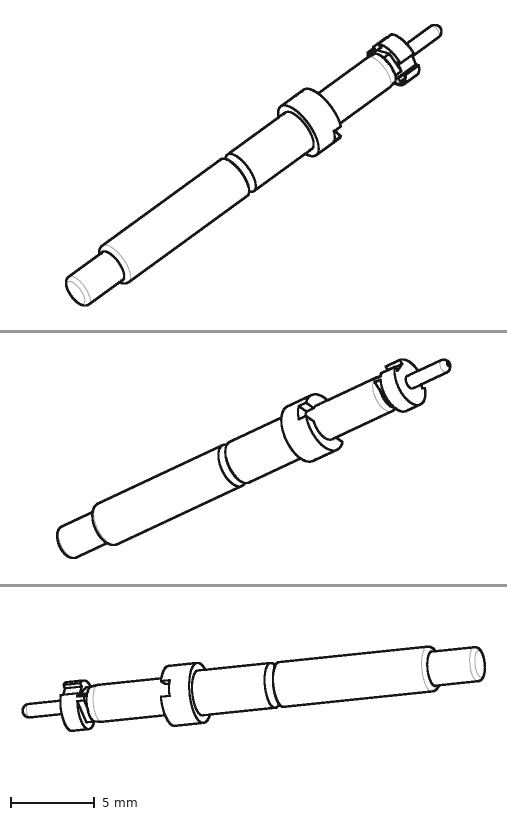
import cadquery as cq
import math


length = 29.3
tip_y = length / 2
tail_y = -length / 2
head_front_y = 11.7
lobe_thickness = 1.08
diamond_thickness = 0.45
neck_length = 0.45
collar_front_y = 5.13
collar_length = 1.85
groove_y = -1.65
body_end_y = -11.7

pin_radius = 0.4
pin_tip_radius = 0.15
head_radius = 1.46
neck_radius = 1.05
tube_radius = 1.1
collar_diameter = 3.6
collar_radius = collar_diameter / 2
body_radius = 1.35
tail_radius = 1.03
groove_radius = 0.25

pin_nose_length = 0.35
pin_nose_bulge = 0.045
body_end_round = 0.23
tail_round = 0.23

slot_tilt = 31.0
slot_width = 0.85
slot_floor = 1.1
diamond_half_height = 1.08
diamond_slope = 33.0

notch_width = 0.97
notch_depth = 0.55

lobe_back_y = head_front_y - lobe_thickness
head_back_y = lobe_back_y - diamond_thickness
neck_end_y = head_back_y - neck_length
collar_back_y = collar_front_y - collar_length


def rod(radius, start_y, end_y):
    """Cylinder on the Y axis from start_y down to end_y."""
    plane = cq.Workplane("XZ", origin=(0, start_y, 0))
    return plane.circle(radius).extrude(start_y - end_y)


def make_pin():
    """Contact pin with a slightly bulged, flat-tipped nose."""
    nose_y = tip_y - pin_nose_length
    nose_middle = (
        (pin_tip_radius + pin_radius) / 2 + pin_nose_bulge,
        (tip_y + nose_y) / 2 + pin_nose_bulge,
    )
    profile = (
        cq.Workplane("XY")
        .moveTo(0, head_front_y)
        .lineTo(pin_radius, head_front_y)
        .lineTo(pin_radius, nose_y)
        .threePointArc(nose_middle, (pin_tip_radius, tip_y))
        .lineTo(0, tip_y)
        .close()
    )
    return profile.revolve(360, (0, 0), (0, 1))


def make_head():
    """Round flange with a diamond-shaped layer behind it and two tilted side slots."""
    flange = rod(head_radius, head_front_y, lobe_back_y)

    diamond_half_width = diamond_half_height / math.tan(math.radians(diamond_slope))
    corners = [
        (diamond_half_width, 0),
        (0, diamond_half_height),
        (-diamond_half_width, 0),
        (0, -diamond_half_height),
    ]
    diamond = (
        cq.Workplane("XZ", origin=(0, lobe_back_y, 0))
        .polyline(corners)
        .close()
        .extrude(diamond_thickness)
        .intersect(rod(head_radius, lobe_back_y, head_back_y))
    )
    head = flange.union(diamond)

    slot = cq.Workplane("XY").box(
        head_radius,
        lobe_thickness + diamond_thickness,
        slot_width,
        centered=(False, False, True),
    )
    slot = slot.translate((slot_floor, head_back_y, 0))
    for angle in (-slot_tilt, slot_tilt - 180):
        head = head.cut(slot.rotate((0, 0, 0), (0, 1, 0), angle))
    return head


def make_neck():
    """Cone widening from the head to the tube."""
    outline = [
        (0, head_back_y),
        (neck_radius, head_back_y),
        (tube_radius, neck_end_y),
        (0, neck_end_y),
    ]
    return cq.Workplane("XY").polyline(outline).close().revolve(360, (0, 0), (0, 1))


def make_collar():
    """Collar with a key notch on each X side of its front face."""
    collar = rod(collar_radius, collar_front_y, collar_back_y)
    notches = cq.Workplane("XY").box(2 * collar_radius, notch_depth, notch_width)
    notches = notches.translate((0, collar_front_y - notch_depth / 2, 0))
    return collar.cut(notches)


def make_body():
    """Rear barrel with a rounded end and a half-round groove."""
    body = rod(body_radius, collar_back_y, body_end_y)
    body = body.faces("<Y").edges().fillet(body_end_round)
    groove = (
        cq.Workplane("XY")
        .center(body_radius, groove_y)
        .circle(groove_radius)
        .revolve(360, (-body_radius, 0), (-body_radius, 1))
    )
    return body.cut(groove)


def make_tail():
    tail = rod(tail_radius, body_end_y, tail_y)
    return tail.faces("<Y").edges().fillet(tail_round)


tube = rod(tube_radius, neck_end_y, collar_back_y)

result = make_pin()
for section in (make_head(), make_neck(), tube, make_collar(), make_body(), make_tail()):
    result = result.union(section)